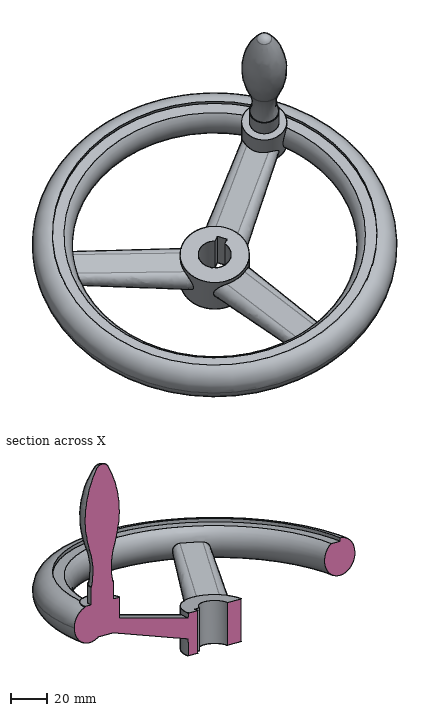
import cadquery as cq

outer_radius = 100.0
rim_tube_radius = 11.0
rim_center_radius = outer_radius - rim_tube_radius
rim_center_height = 34.0
rim_top = rim_center_height + rim_tube_radius
rim_step_depth = 2.0

hub_radius = 19.0
hub_height = 25.0
bore_radius = 9.0
keyway_width = 5.5
keyway_reach = 12.0

spoke_count = 3
spoke_flat_width = 12.8
spoke_inner_distance = 12.0
spoke_inner_height = 14.2
spoke_inner_round = 6.5
spoke_outer_distance = 86.0
spoke_outer_height = 33.0
spoke_outer_round = 4.0

handle_distance = 80.0
boss_radius = 12.5
boss_height = 20.0
shank_radius = 8.2
shank_top = 55.2
neck_start_radius = 7.8
neck_radius = 6.5
neck_height = 64.5
grip_start_radius = 9.0
grip_start_height = 76.5
grip_radius = 12.5
grip_widest_height = 95.5
tip_radius = 4.0
tip_height = 123.2
total_height = 125.0
tip_rise = total_height - tip_height
tip_dome_radius = (tip_radius**2 + tip_rise**2) / (2 * tip_rise)


def make_rim():
    ring = (
        cq.Workplane("XZ")
        .center(rim_center_radius, rim_center_height)
        .circle(rim_tube_radius)
        .revolve(360, (-rim_center_radius, 0), (-rim_center_radius, 1))
    )
    step = (
        cq.Workplane("XY", origin=(0, 0, rim_top - rim_step_depth))
        .circle(rim_center_radius)
        .circle(rim_center_radius - rim_tube_radius)
        .extrude(2 * rim_step_depth)
    )
    return ring.cut(step)


def spoke_section(distance, height, round_radius):
    """Wire of a horizontal slot in the plane Y = distance."""
    half_flat = spoke_flat_width / 2
    section = (
        cq.Workplane("XZ", origin=(0, distance, height))
        .moveTo(-half_flat, round_radius)
        .lineTo(half_flat, round_radius)
        .threePointArc((half_flat + round_radius, 0), (half_flat, -round_radius))
        .lineTo(-half_flat, -round_radius)
        .threePointArc((-half_flat - round_radius, 0), (-half_flat, round_radius))
        .close()
    )
    return section.val()


def make_spoke(angle):
    inner = spoke_section(spoke_inner_distance, spoke_inner_height, spoke_inner_round)
    outer = spoke_section(spoke_outer_distance, spoke_outer_height, spoke_outer_round)
    spoke = cq.Workplane(cq.Solid.makeLoft([inner, outer], True))
    return spoke.rotate((0, 0, 0), (0, 0, 1), angle)


def make_hub():
    return cq.Workplane("XY").circle(hub_radius).extrude(hub_height)


def make_bore():
    bore = cq.Workplane("XY").circle(bore_radius).extrude(hub_height)
    keyway = (
        cq.Workplane("XY")
        .center(0, keyway_reach / 2)
        .rect(keyway_width, keyway_reach)
        .extrude(hub_height)
    )
    return bore.union(keyway)


def make_boss():
    return (
        cq.Workplane("XY", origin=(0, handle_distance, rim_top - boss_height))
        .circle(boss_radius)
        .extrude(boss_height)
    )


def make_handle():
    """Revolved handle; its foot reaches down through the boss."""
    return (
        cq.Workplane("XZ", origin=(0, handle_distance, 0))
        .moveTo(0, rim_top - boss_height)
        .lineTo(shank_radius, rim_top - boss_height)
        .lineTo(shank_radius, shank_top)
        .lineTo(neck_start_radius, shank_top)
        .threePointArc((neck_radius, neck_height), (grip_start_radius, grip_start_height))
        .threePointArc((grip_radius, grip_widest_height), (tip_radius, tip_height))
        .radiusArc((0, total_height), -tip_dome_radius)
        .close()
        .revolve(360, (0, 0), (0, 1))
    )


wheel = make_rim().union(make_hub())
for index in range(spoke_count):
    wheel = wheel.union(make_spoke(index * 360 / spoke_count))

result = wheel.union(make_boss()).union(make_handle()).cut(make_bore())